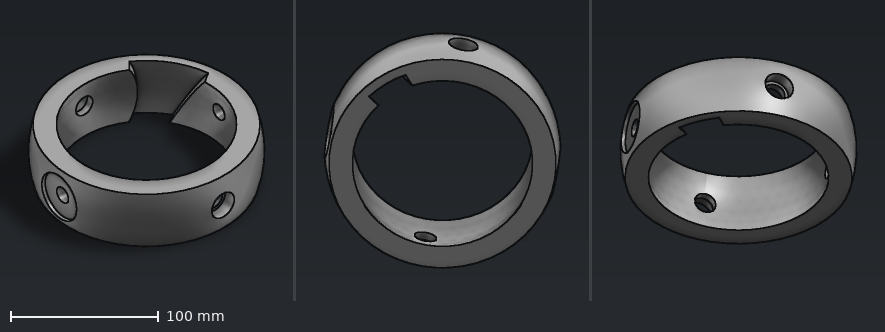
import cadquery as cq
import math

outer_radius = 80.0
inner_radius = 65.0
ring_height = 45.0
half_height = ring_height / 2

x_bore_diameter = 15.0
x_counterbore_diameter = 20.0
x_counterbore_floor = 70.0

y_bore_diameter = 12.0
y_counterbore_diameter = 36.0
y_counterbore_floor = 75.0

notch_radius = 73.5
notch_cone_angle = 35.4
notch_direction = 125.8
flat_wall_offset = 14.5
flat_wall_tilt = 30.2

through_length = 3 * outer_radius


def make_ring():
    slab = cq.Workplane("XY").box(through_length, through_length, ring_height)
    outer = cq.Workplane("XY").sphere(outer_radius)
    inner = cq.Workplane("XY").sphere(inner_radius)
    return outer.intersect(slab).cut(inner)


def stepped_holes(plane, bore_diameter, counterbore_diameter, floor):
    """Cutter for a bore across the ring with a counterbore at each outer end."""
    cutter = cq.Workplane(plane).circle(bore_diameter / 2).extrude(outer_radius, both=True)
    for side in (1, -1):
        counterbore = (
            cq.Workplane(plane)
            .workplane(offset=side * floor)
            .circle(counterbore_diameter / 2)
            .extrude(side * (outer_radius - floor))
        )
        cutter = cutter.union(counterbore)
    return cutter


def make_notch():
    ball = cq.Workplane("XY").sphere(notch_radius)

    heading = math.radians(notch_direction)
    along = (math.cos(heading), math.sin(heading), 0)
    sideways = (math.sin(heading), -math.cos(heading), 0)
    lean = half_height * math.tan(math.radians(flat_wall_tilt))
    section = cq.Plane(origin=(0, 0, 0), xDir=sideways, normal=along)
    up = section.yDir.z
    prism = (
        cq.Workplane(section)
        .polyline([
            (-through_length, -up * half_height),
            (flat_wall_offset - lean, -up * half_height),
            (flat_wall_offset + lean, up * half_height),
            (-through_length, up * half_height),
        ])
        .close()
        .extrude(through_length)
    )

    cone_radius = through_length * math.tan(math.radians(notch_cone_angle))
    cone = (
        cq.Workplane("XY")
        .polyline([(0, 0), (-through_length, 0), (-through_length, cone_radius)])
        .close()
        .revolve(360, (0, 0, 0), (1, 0, 0))
    )
    positive_y = cq.Workplane("XY").box(
        2 * through_length, through_length, ring_height, centered=(True, False, True)
    )
    return ball.intersect(prism).intersect(positive_y).cut(cone)


x_holes = stepped_holes("YZ", x_bore_diameter, x_counterbore_diameter, x_counterbore_floor)
y_holes = stepped_holes("XZ", y_bore_diameter, y_counterbore_diameter, y_counterbore_floor)

result = make_ring().cut(x_holes).cut(y_holes).cut(make_notch())